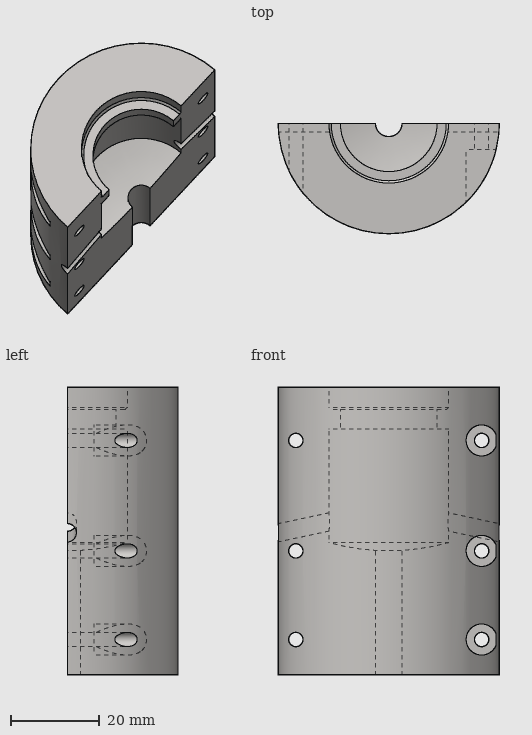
import cadquery as cq
import math

height = 65.0
outer_radius = 50.0 / 2

cavity_radius = 13.5
lip_radius = 10.9
lip_chamfer = 0.5
mouth_depth = 4.55
lip_bottom_depth = 9.4
throat_radius = 3.0
floor_edge_z = 29.9
floor_sphere_radius = 50.0

screw_x = 21.0
screw_levels = (8.0, 28.0, 53.0)
screw_diameter = 3.2
counterbore_diameter = 7.0
counterbore_floor_y = -6.0

port_diameter = 4.0
port_outer_z = 32.1
port_slope = 12.0


def half_shell():
    block = cq.Workplane("XY").circle(outer_radius).extrude(height)
    behind = cq.Workplane("XY").box(
        2 * outer_radius, outer_radius, height, centered=(True, False, False)
    )
    return block.cut(behind)


def cavity():
    chamfer_top_z = height - mouth_depth
    ledge_z = chamfer_top_z - lip_chamfer
    lip_bottom_z = height - lip_bottom_depth
    sphere_z = floor_edge_z + math.sqrt(floor_sphere_radius**2 - cavity_radius**2)

    def dish_point(radius):
        return radius, sphere_z - math.sqrt(floor_sphere_radius**2 - radius**2)

    middle_radius = (throat_radius + cavity_radius) / 2
    profile = (
        cq.Workplane("XZ")
        .moveTo(0, 0)
        .lineTo(throat_radius, 0)
        .lineTo(*dish_point(throat_radius))
        .threePointArc(dish_point(middle_radius), dish_point(cavity_radius))
        .lineTo(cavity_radius, lip_bottom_z)
        .lineTo(lip_radius, lip_bottom_z)
        .lineTo(lip_radius, ledge_z)
        .lineTo(cavity_radius - lip_chamfer, ledge_z)
        .lineTo(cavity_radius, chamfer_top_z)
        .lineTo(cavity_radius, height)
        .lineTo(0, height)
        .close()
    )
    return profile.revolve(360, (0, 0, 0), (0, 1, 0))


def cylinder_along_y(x, z, diameter, start_y):
    """Cutter running from start_y out through the curved side."""
    plane = cq.Workplane("XZ", origin=(x, start_y, z))
    return plane.circle(diameter / 2).extrude(outer_radius)


def side_port(side):
    """Sloped cutter from outside the shell into the cavity; side is -1 or 1 along X."""
    slope = math.radians(port_slope)
    outside = port_diameter
    start = cq.Vector(
        side * (outer_radius + outside), 0, port_outer_z - outside * math.tan(slope)
    )
    direction = cq.Vector(-side * math.cos(slope), 0, math.sin(slope))
    length = (outer_radius + outside - cavity_radius / 2) / math.cos(slope)
    return cq.Workplane(cq.Solid.makeCylinder(port_diameter / 2, length, start, direction))


result = half_shell().cut(cavity())

for level in screw_levels:
    for x in (-screw_x, screw_x):
        result = result.cut(cylinder_along_y(x, level, screw_diameter, 0))
    result = result.cut(cylinder_along_y(screw_x, level, counterbore_diameter, counterbore_floor_y))

for side in (-1, 1):
    result = result.cut(side_port(side))